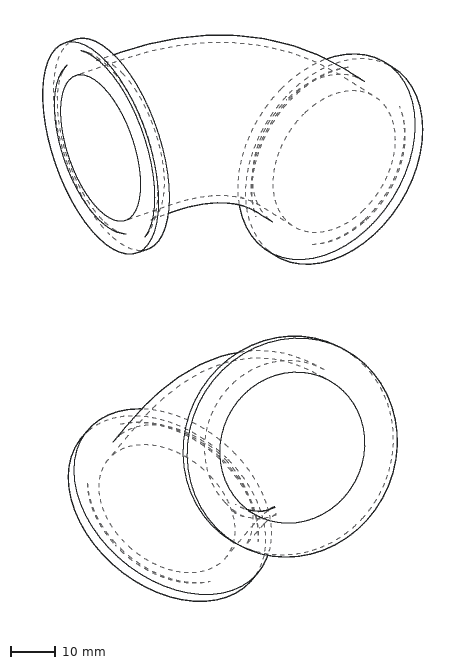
import cadquery as cq
import math

tube_diameter = 38.1
bore_diameter = 34.8
flange_diameter = 50.4
bend_radius = 57.1
bend_angle = 45.0
ferrule_length = 12.7

rim_thickness = 2.9
taper_angle = 20.0
neck_fillet = 1.1

groove_centre_radius = 21.8
groove_depth = 1.6
groove_floor_radius = 1.2
groove_wall_angle = 25.0
groove_lip_fillet = 0.55

tube_radius = tube_diameter / 2
bore_radius = bore_diameter / 2
flange_radius = flange_diameter / 2
taper_length = (flange_radius - tube_radius) * math.tan(math.radians(taper_angle))
neck_start = rim_thickness + taper_length

wall_draft = math.radians(groove_wall_angle)
floor_half_width = groove_floor_radius * math.cos(wall_draft)
wall_depth = groove_depth - groove_floor_radius * (1 - math.sin(wall_draft))
mouth_half_width = floor_half_width + wall_depth * math.tan(wall_draft)


def circular_edge(body, radius, y):
    """Pick the circular edge of this radius at height y on a body turned about Y."""
    margin = 0.01
    reach = radius + margin
    box = cq.selectors.BoxSelector(
        (-reach, y - margin, -reach), (reach, y + margin, reach), boundingbox=True
    )
    return body.edges(box).edges(cq.selectors.RadiusNthSelector(-1))


def make_ferrule():
    """Flange and neck with the sealing face at Y = 0 and the neck running toward +Y."""
    mouth_inner = groove_centre_radius - mouth_half_width
    mouth_outer = groove_centre_radius + mouth_half_width
    floor_inner = groove_centre_radius - floor_half_width
    floor_outer = groove_centre_radius + floor_half_width
    profile = (
        cq.Workplane("XY")
        .moveTo(bore_radius, 0)
        .lineTo(mouth_inner, 0)
        .lineTo(floor_inner, wall_depth)
        .threePointArc((groove_centre_radius, groove_depth), (floor_outer, wall_depth))
        .lineTo(mouth_outer, 0)
        .lineTo(flange_radius, 0)
        .lineTo(flange_radius, rim_thickness)
        .lineTo(tube_radius, neck_start)
        .lineTo(tube_radius, ferrule_length)
        .lineTo(bore_radius, ferrule_length)
        .close()
    )
    body = profile.revolve(360, (0, 0, 0), (0, 1, 0))
    body = circular_edge(body, tube_radius, neck_start).fillet(neck_fillet)
    for lip_radius in (mouth_inner, mouth_outer):
        body = circular_edge(body, lip_radius, 0).fillet(groove_lip_fillet)
    return body


def make_bend():
    """Tube wall swept along the bend, starting at the end of the first ferrule."""
    return (
        cq.Workplane("XZ", origin=(0, ferrule_length, 0))
        .circle(tube_radius)
        .circle(bore_radius)
        .revolve(bend_angle, (0.8, -bend_radius, 0), (0, -bend_radius, 0))
    )


def carry_to_far_end(ferrule):
    """Mirror a ferrule about the start of the bend, then turn it around the bend centre."""
    mirrored = ferrule.mirror("XZ", (0, ferrule_length, 0))
    bend_centre = (0, ferrule_length, -bend_radius)
    axis_end = (1, ferrule_length, -bend_radius)
    return mirrored.rotate(bend_centre, axis_end, -bend_angle)


near_ferrule = make_ferrule()
far_ferrule = carry_to_far_end(near_ferrule)
result = near_ferrule.union(make_bend()).union(far_ferrule)